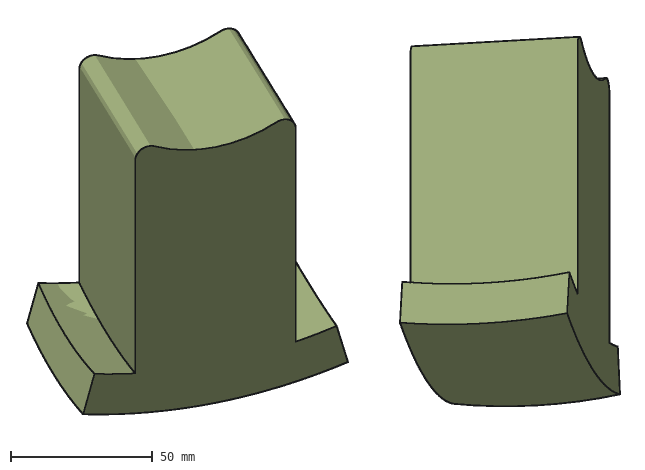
import cadquery as cq
import math

height = 117.7
stem_width = 60.0
foot_length = 100.0
sole_radius = 200.1
foot_thickness = 16.7
lip_radius = 5.0
groove_radius = 50.0

half_width = stem_width / 2
instep_radius = sole_radius - foot_thickness
end_slope = math.asin(foot_length / 2 / sole_radius)
lip_y = half_width - lip_radius
lip_z = height - lip_radius
groove_z = lip_z + math.sqrt((groove_radius + lip_radius) ** 2 - lip_y ** 2)
tangent_share = lip_radius / (groove_radius + lip_radius)
tangent_y = lip_y * (1 - tangent_share)
tangent_z = lip_z + (groove_z - lip_z) * tangent_share


def sphere(radius):
    """Ball about the common centre of both faces of the foot."""
    return cq.Workplane("XY").sphere(radius).translate((0, 0, sole_radius))


def extrude_along_x(outline):
    return outline.close().extrude(half_width, both=True)


def make_stem():
    """Square stem with a saddle groove blending into rounded lips."""
    outline = (
        cq.Workplane("YZ")
        .moveTo(-half_width, 0)
        .lineTo(half_width, 0)
        .lineTo(half_width, lip_z)
        .threePointArc((lip_y, height), (tangent_y, tangent_z))
        .threePointArc((0, groove_z - groove_radius), (-tangent_y, tangent_z))
        .threePointArc((-lip_y, height), (-half_width, lip_z))
    )
    return extrude_along_x(outline).intersect(sphere(sole_radius))


def make_foot():
    """Spherical shell segment with end faces in planes through its centre."""
    wedge_half_length = sole_radius * math.tan(end_slope)
    wedge = extrude_along_x(
        cq.Workplane("YZ")
        .moveTo(0, sole_radius)
        .lineTo(-wedge_half_length, 0)
        .lineTo(wedge_half_length, 0)
    )
    return wedge.intersect(sphere(sole_radius)).cut(sphere(instep_radius))


result = make_stem().union(make_foot())